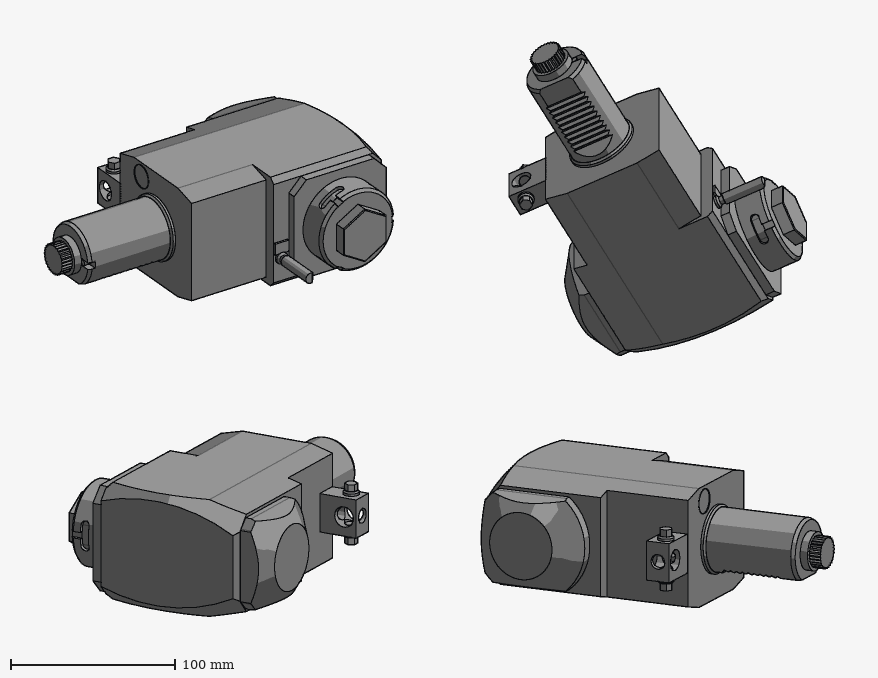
import cadquery as cq
import math


HOUSING_HEIGHT = 75.0
HALF_HEIGHT = HOUSING_HEIGHT / 2
HOUSING_BACK = 133.8
HEAD_LEFT = -48.3
HEAD_RIGHT = 47.2
HEAD_START = 54.8
NECK_HALF_WIDTH = 39.0
SLOPE_START = 24.0
SLOPE = math.tan(math.radians(14.5))
HEAD_RIGHT_CHAMFER = 3.5
HEAD_LEFT_CHAMFER = 3.1
BACK_CONE_X = 9.6
BACK_CONE_RADIUS = 123.3
BACK_CONE_DROP = 4.0
PLUG_X, PLUG_Z = -16.0, 27.5
PLUG_RADIUS = 7.7
PLUG_DEPTH = 0.6

SPINDLE_Y = 99.7
PLATE_HALF = 33.9
PLATE_CHAMFER = 9.0
PLATE_THICKNESS = 5.9
NUT_RADIUS = 27.4
NUT_END = 72.3
NUT_CHAMFER = 1.9
SPANNER_SLOT_X = 62.7
SPANNER_SLOT_WIDTH = 5.6
SPANNER_SLOT_DEPTH = 2.3
SPANNER_SLOT_SPAN = 41.0
SPANNER_SLOT_COUNT = 3
SPANNER_SLOT_FIRST_ANGLE = 30.0
RELIEF_SLOT_WIDTH = 4.2
HEX_END = 80.5
HEX_CORNERS = 36.4
HEX_CHAMFER = 0.6

CAP_END = -67.0
CAP_CONE_END = -55.4
CAP_FACE_RADIUS = 21.1
CAP_RADIUS = 37.6
CAP_BACK = 129.5
CAP_HALF_HEIGHT = 29.3
CAP_SLOPE_START = -52.2
CAP_CORNER_CHAMFER = 6.3

PIN_Y, PIN_Z = 60.0, -17.8
PIN_RADIUS = 3.5
PIN_BASE_RADIUS = 4.0
PIN_NECK_RADIUS = 2.5
PIN_BASE_LENGTH = 2.7
PIN_BODY_START = 52.9
PIN_END = 79.8
PIN_TIP_BEVEL = 2.5
PAD_LENGTH = 10.0
PAD_BOTTOM, PAD_TOP = -14.5, -6.7
PAD_THICKNESS = 1.5

BLOCK_LEFT = -64.5
BLOCK_FRONT, BLOCK_BACK = 0.6, 15.9
BLOCK_HALF_HEIGHT = 12.3
CROSS_X = -56.0
BORE_RADIUS = 6.5
BORE_Y = 8.2
PORT_RADIUS = 4.5
PORT_END = -43.9
PASSAGE_RADIUS = 1.9
BOLT_Y = 7.0
BOLT_HOLE_RADIUS = 4.2
BOLT_HOLE_END = 6.7
BOLT_FLANGE_RADIUS = 5.0
BOLT_FLANGE_TOP_RADIUS = 4.0
BOLT_FLANGE_RIM = 1.5
BOLT_FLANGE_HEIGHT = 2.5
BOLT_HEX_CORNERS = 8.2
BOLT_HEIGHT = 7.0

COLLAR_RADIUS = 21.5
COLLAR_LENGTH = 3.0
COLLAR_CHAMFER = 1.3
SHANK_RADIUS = 20.0
SHANK_LENGTH = 62.7
SHANK_CHAMFER_LENGTH = 2.5
SHANK_CHAMFER_DEPTH = 1.0
STEP_RADIUS = 12.1
STEP_END = 67.7
SPLINE_RADIUS = 10.0
SPLINE_ROOT_RADIUS = 9.2
SPLINE_TEETH = 28
SPLINE_END = 75.2
KEYWAY_WIDTH = 4.5
KEYWAY_DEPTH = 4.8
KEYWAY_PIN_RADIUS = 1.9
KEYWAY_PIN_X = 13.5
RACK_CREST_Z = -16.5
RACK_RAMP = 7.7
RACK_PITCH = 4.0
RACK_DEPTH = 1.5
RACK_GROOVE_WIDTH = 3.5
RACK_FIRST_GROOVE = 12.0
RACK_GROOVES = 10

OVERLAP = 1.0


def box(x0, x1, y0, y1, z0, z1):
    """Axis-aligned box between two corners."""
    return cq.Workplane("XY").box(x1 - x0, y1 - y0, z1 - z0, centered=False).translate((x0, y0, z0))


def rod_x(radius, x0, x1, y, z):
    """Cylinder parallel to X."""
    return cq.Workplane("YZ", origin=(x0, y, z)).circle(radius).extrude(x1 - x0)


def rod_y(radius, y0, y1, x, z):
    """Cylinder parallel to Y."""
    return cq.Workplane("XZ", origin=(x, y1, z)).circle(radius).extrude(y1 - y0)


def mirrored_profile(upper_points, y0, y1):
    """Extrude along Y an XZ outline given by its upper half, mirrored in Z."""
    lower_points = [(x, -z) for x, z in reversed(upper_points)]
    outline = cq.Workplane("XZ", origin=(0, y1, 0)).polyline(upper_points + lower_points).close()
    return outline.extrude(y1 - y0)


def turned_x(points, y, z):
    """Revolve (X, radius) points about an axis parallel to X."""
    return cq.Workplane("XY", origin=(0, y, z)).polyline(points).close().revolve(360, (0, 0, 0), (1, 0, 0))


def back_cone(side):
    """Large 45 degree cone that limits the back; side is +1 for the top, -1 for the bottom."""
    centre_z = side * (HALF_HEIGHT - BACK_CONE_RADIUS)
    back_radius = BACK_CONE_RADIUS - BACK_CONE_DROP
    base_radius = back_radius + HOUSING_BACK
    cone = cq.Solid.makeCone(
        base_radius, back_radius, HOUSING_BACK, cq.Vector(BACK_CONE_X, 0, centre_z), cq.Vector(0, 1, 0)
    )
    return cq.Workplane(cone)


def housing():
    left_edge_z = HALF_HEIGHT - SLOPE * (-SLOPE_START - HEAD_LEFT)
    neck_edge_z = HALF_HEIGHT - SLOPE * (NECK_HALF_WIDTH - SLOPE_START)
    head = mirrored_profile(
        [
            (HEAD_LEFT, left_edge_z),
            (-SLOPE_START, HALF_HEIGHT),
            (HEAD_RIGHT - HEAD_RIGHT_CHAMFER, HALF_HEIGHT),
            (HEAD_RIGHT, HALF_HEIGHT - HEAD_RIGHT_CHAMFER),
        ],
        HEAD_START,
        HOUSING_BACK,
    )
    head = head.edges("<X and >Y").chamfer(HEAD_LEFT_CHAMFER)
    head = head.intersect(back_cone(1)).intersect(back_cone(-1))
    neck = mirrored_profile(
        [
            (-NECK_HALF_WIDTH, neck_edge_z),
            (-SLOPE_START, HALF_HEIGHT),
            (SLOPE_START, HALF_HEIGHT),
            (NECK_HALF_WIDTH, neck_edge_z),
        ],
        0,
        HEAD_START + OVERLAP,
    )
    return head.union(neck).cut(rod_y(PLUG_RADIUS, 0, PLUG_DEPTH, PLUG_X, PLUG_Z))


def end_cap():
    inner_x = HEAD_LEFT + OVERLAP
    disc = turned_x(
        [
            (CAP_END, 0),
            (CAP_END, CAP_FACE_RADIUS),
            (CAP_CONE_END, CAP_RADIUS),
            (inner_x, CAP_RADIUS),
            (inner_x, 0),
        ],
        SPINDLE_Y,
        0,
    )
    end_z = CAP_HALF_HEIGHT - SLOPE * (CAP_SLOPE_START - CAP_END)
    envelope = mirrored_profile(
        [(CAP_END, end_z), (CAP_SLOPE_START, CAP_HALF_HEIGHT), (inner_x, CAP_HALF_HEIGHT)],
        SPINDLE_Y - CAP_RADIUS,
        CAP_BACK,
    )
    corner_limit = (
        cq.Workplane("YZ", origin=(CAP_END, 0, 0))
        .rect(2 * CAP_BACK, 2 * CAP_HALF_HEIGHT)
        .extrude(inner_x - CAP_END)
        .edges("|X and >Y")
        .chamfer(CAP_CORNER_CHAMFER)
    )
    return disc.intersect(envelope).intersect(corner_limit)


def spanner_slot():
    """Hook-spanner slot with round ends and its axial relief, centred on the +Z side of the nut."""
    floor = NUT_RADIUS - SPANNER_SLOT_DEPTH
    half_width = SPANNER_SLOT_WIDTH / 2
    height = 2 * SPANNER_SLOT_DEPTH
    end_angle = SPANNER_SLOT_SPAN / 2 - math.degrees(half_width / NUT_RADIUS)
    slot = (
        cq.Workplane("XY")
        .center(SPANNER_SLOT_X, floor + height / 2)
        .rect(SPANNER_SLOT_WIDTH, height)
        .revolve(2 * end_angle, (0, -floor - height / 2, 0), (1, -floor - height / 2, 0))
        .rotate((0, 0, 0), (1, 0, 0), 90 - end_angle)
    )
    end = cq.Workplane("XY", origin=(SPANNER_SLOT_X, 0, floor)).circle(half_width).extrude(height)
    for angle in (-end_angle, end_angle):
        slot = slot.union(end.rotate((0, 0, 0), (1, 0, 0), angle))
    half_relief = RELIEF_SLOT_WIDTH / 2
    relief = box(SPANNER_SLOT_X, NUT_END, -half_relief, half_relief, floor, floor + height)
    return slot.union(relief)


def spindle_side():
    plate_end = HEAD_RIGHT + PLATE_THICKNESS
    plate = (
        cq.Workplane("YZ", origin=(HEAD_RIGHT - OVERLAP, SPINDLE_Y, 0))
        .rect(2 * PLATE_HALF, 2 * PLATE_HALF)
        .extrude(PLATE_THICKNESS + OVERLAP)
        .edges("|X")
        .chamfer(PLATE_CHAMFER)
    )
    nut = rod_x(NUT_RADIUS, plate_end - OVERLAP, NUT_END, 0, 0).faces(">X").chamfer(NUT_CHAMFER)
    for index in range(SPANNER_SLOT_COUNT):
        angle = SPANNER_SLOT_FIRST_ANGLE + 360 / SPANNER_SLOT_COUNT * index
        nut = nut.cut(spanner_slot().rotate((0, 0, 0), (1, 0, 0), angle))
    hexagon = (
        cq.Workplane("YZ", origin=(NUT_END - OVERLAP, 0, 0))
        .transformed(rotate=(0, 0, 90))
        .polygon(6, HEX_CORNERS)
        .extrude(HEX_END - NUT_END + OVERLAP)
        .faces(">X")
        .chamfer(HEX_CHAMFER)
    )
    return plate.union(nut.union(hexagon).translate((0, SPINDLE_Y, 0)))


def coolant_pin():
    base_end = HEAD_RIGHT + PIN_BASE_LENGTH
    pin = turned_x(
        [
            (HEAD_RIGHT - OVERLAP, 0),
            (HEAD_RIGHT - OVERLAP, PIN_BASE_RADIUS),
            (HEAD_RIGHT + PAD_THICKNESS, PIN_BASE_RADIUS),
            (base_end, PIN_NECK_RADIUS),
            (PIN_BODY_START, PIN_NECK_RADIUS),
            (PIN_BODY_START, PIN_RADIUS),
            (PIN_END, PIN_RADIUS),
            (PIN_END, 0),
        ],
        PIN_Y,
        PIN_Z,
    )
    tip_y = PIN_Y + PIN_RADIUS
    bevel = (
        cq.Workplane("XY", origin=(0, 0, PIN_Z - PIN_RADIUS))
        .polyline([(PIN_END, tip_y - PIN_TIP_BEVEL), (PIN_END, tip_y), (PIN_END - PIN_TIP_BEVEL, tip_y)])
        .close()
        .extrude(2 * PIN_RADIUS)
    )
    pad = box(
        HEAD_RIGHT - OVERLAP,
        HEAD_RIGHT + PAD_THICKNESS,
        PIN_Y - PAD_LENGTH / 2,
        PIN_Y + PAD_LENGTH / 2,
        PAD_BOTTOM,
        PAD_TOP,
    )
    return pin.cut(bevel).union(pad)


def bolt():
    """Flanged hexagon bolt head standing on the top of the side block."""
    flange = (
        cq.Workplane("XZ")
        .polyline(
            [
                (0, -OVERLAP),
                (BOLT_FLANGE_RADIUS, -OVERLAP),
                (BOLT_FLANGE_RADIUS, BOLT_FLANGE_RIM),
                (BOLT_FLANGE_TOP_RADIUS, BOLT_FLANGE_HEIGHT),
                (0, BOLT_FLANGE_HEIGHT),
            ]
        )
        .close()
        .revolve(360, (0, 0, 0), (0, 1, 0))
    )
    head = cq.Workplane("XY").transformed(rotate=(0, 0, 90)).polygon(6, BOLT_HEX_CORNERS).extrude(BOLT_HEIGHT)
    return flange.union(head).translate((CROSS_X, BOLT_Y, BLOCK_HALF_HEIGHT))


def side_block():
    block = box(
        BLOCK_LEFT,
        -NECK_HALF_WIDTH + OVERLAP,
        BLOCK_FRONT,
        BLOCK_BACK,
        -BLOCK_HALF_HEIGHT,
        BLOCK_HALF_HEIGHT,
    )
    block = block.cut(rod_y(BORE_RADIUS, BLOCK_FRONT, BLOCK_BACK, CROSS_X, 0))
    block = block.cut(rod_x(PORT_RADIUS, BLOCK_LEFT, PORT_END, BORE_Y, 0))
    block = block.cut(rod_x(PASSAGE_RADIUS, PORT_END, -NECK_HALF_WIDTH, BORE_Y, 0))
    drilling = cq.Workplane("XY", origin=(CROSS_X, BOLT_Y, 0)).circle(BOLT_HOLE_RADIUS)
    block = block.cut(drilling.extrude(BOLT_HOLE_END, both=True))
    return block.union(bolt()).union(bolt().mirror("XY"))


def rack_cutter():
    """Material removed below the shank: a ramp, a flat and the grooves between the rack teeth."""
    bottom_z = -COLLAR_RADIUS
    half_groove = RACK_GROOVE_WIDTH / 2
    flat = (
        cq.Workplane("YZ", origin=(-COLLAR_RADIUS, 0, 0))
        .polyline(
            [
                (RACK_RAMP - RACK_FIRST_GROOVE, bottom_z),
                (-RACK_FIRST_GROOVE, RACK_CREST_Z + RACK_DEPTH),
                (-RACK_FIRST_GROOVE - half_groove, RACK_CREST_Z),
                (-SHANK_LENGTH, RACK_CREST_Z),
                (-SHANK_LENGTH, bottom_z),
            ]
        )
        .close()
        .extrude(2 * COLLAR_RADIUS)
    )
    for index in range(1, RACK_GROOVES):
        groove_y = -RACK_FIRST_GROOVE - index * RACK_PITCH
        groove = (
            cq.Workplane("YZ", origin=(-COLLAR_RADIUS, groove_y, RACK_CREST_Z))
            .polyline([(-half_groove, 0), (0, RACK_DEPTH), (half_groove, 0), (0, -RACK_DEPTH)])
            .close()
            .extrude(2 * COLLAR_RADIUS)
        )
        flat = flat.union(groove)
    return flat


def spline():
    """Toothed drive end of the shank."""
    points = []
    for index in range(2 * SPLINE_TEETH):
        radius = SPLINE_RADIUS if index % 2 == 0 else SPLINE_ROOT_RADIUS
        angle = math.pi * index / SPLINE_TEETH
        points.append((radius * math.cos(angle), radius * math.sin(angle)))
    start = STEP_END - OVERLAP
    return cq.Workplane("XZ", origin=(0, -start, 0)).polyline(points).close().extrude(SPLINE_END - start)


def shank():
    body = (
        cq.Workplane("XY")
        .polyline(
            [
                (0, OVERLAP),
                (COLLAR_RADIUS, OVERLAP),
                (COLLAR_RADIUS, COLLAR_CHAMFER - COLLAR_LENGTH),
                (COLLAR_RADIUS - COLLAR_CHAMFER, -COLLAR_LENGTH),
                (SHANK_RADIUS, -COLLAR_LENGTH),
                (SHANK_RADIUS, SHANK_CHAMFER_LENGTH - SHANK_LENGTH),
                (SHANK_RADIUS - SHANK_CHAMFER_DEPTH, -SHANK_LENGTH),
                (STEP_RADIUS, -SHANK_LENGTH),
                (STEP_RADIUS, -STEP_END),
                (0, -STEP_END),
            ]
        )
        .close()
        .revolve(360, (0, 0, 0), (0, 1, 0))
    )
    body = body.cut(rack_cutter())
    half_keyway = KEYWAY_WIDTH / 2
    keyway_floor = KEYWAY_DEPTH - SHANK_LENGTH
    keyway = box(STEP_RADIUS, SHANK_RADIUS, -SHANK_LENGTH, keyway_floor, -half_keyway, half_keyway)
    keyway_pin = rod_y(KEYWAY_PIN_RADIUS, -SHANK_LENGTH, keyway_floor + OVERLAP, KEYWAY_PIN_X, 0)
    return body.cut(keyway).union(keyway_pin).union(spline())


result = housing()
for piece in (end_cap(), spindle_side(), coolant_pin(), side_block(), shank()):
    result = result.union(piece)